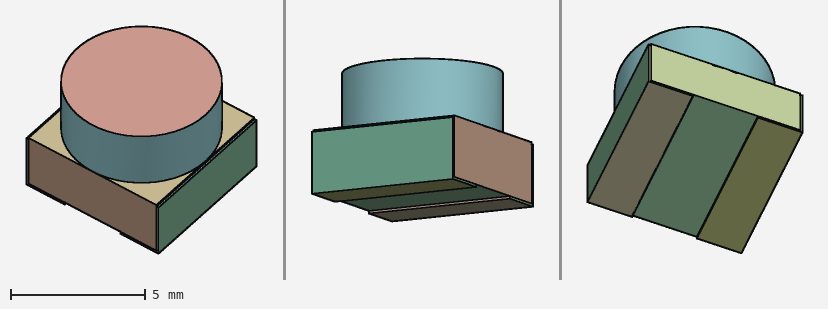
import cadquery as cq

overall_length = 6.2
body_width = 6.0
overall_height = 4.8

sheet = (overall_length - body_width) / 2
pad_length = 1.8
side_gap = 0.075

base_top = 2.43
core_diameter = body_width


def make_base():
    """Square block that rests on the terminal feet."""
    return (
        cq.Workplane("XY")
        .workplane(offset=sheet)
        .rect(body_width, body_width)
        .extrude(base_top - sheet)
    )


def make_core():
    """Cylinder as wide as the base, standing on its top face."""
    return (
        cq.Workplane("XY")
        .workplane(offset=base_top)
        .circle(core_diameter / 2)
        .extrude(overall_height - base_top)
    )


def make_terminal(side):
    """L-shaped terminal; side is -1 for the -X end and +1 for the +X end."""
    outer = side * overall_length / 2
    inner = side * body_width / 2
    foot_end = outer - side * pad_length
    terminal_top = base_top - side_gap
    return (
        cq.Workplane("XZ")
        .moveTo(outer, 0)
        .lineTo(outer, terminal_top)
        .lineTo(inner, terminal_top)
        .lineTo(inner, sheet)
        .lineTo(foot_end, sheet)
        .lineTo(foot_end, 0)
        .close()
        .extrude(body_width / 2, both=True)
    )


base = make_base()
core = make_core()
terminals = [make_terminal(side) for side in (-1, 1)]

result = cq.Compound.makeCompound(
    [base.val(), core.val(), *[terminal.val() for terminal in terminals]]
)